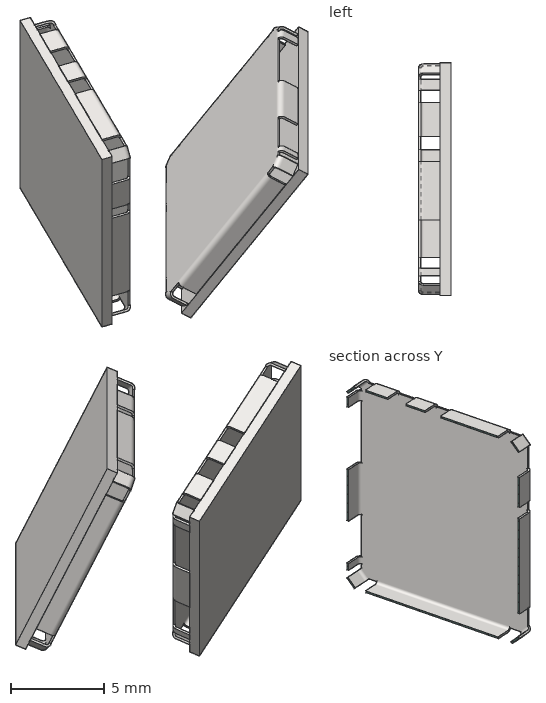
import cadquery as cq
import math

board_width = 11.6
board_height = 12.5
board_thickness = 0.6

total_depth = 1.76
board_margin = 0.06
sheet = 0.13
bend_radius = 0.3
corner_cut = 0.5
roof_inset = 0.22

top_tab_spans = [(-4.48, -3.03), (-1.81, -0.54), (0.50, 4.32)]
bottom_tab_spans = [(-4.48, 4.32)]
left_tab_spans = [(-5.19, -4.77), (-2.19, 0.96), (4.76, 5.36)]
right_tab_spans = [(-4.21, 1.59), (2.28, 4.12)]

can_height = total_depth - board_thickness
half_x = board_width / 2 - board_margin
half_z = board_height / 2 - board_margin
corner_tab_width = corner_cut * math.sqrt(2)


def make_board():
    return cq.Workplane("XY").box(
        board_width, board_thickness, board_height, centered=(True, False, True)
    )


def make_block(inset, depth):
    """Block with 45 degree corners, ending at the back of the can and inset on every side."""
    cut = corner_cut - (2 - math.sqrt(2)) * inset
    return (
        cq.Workplane("XY")
        .box(2 * (half_x - inset), depth, 2 * (half_z - inset), centered=(True, False, True))
        .edges("|Y")
        .chamfer(cut)
        .translate((0, total_depth - depth, 0))
    )


def make_roof():
    """Sheet at the back of the can, whose rim between the tabs stops within the bends."""
    rounded_can = make_block(0, can_height).faces(">Y").edges().fillet(bend_radius)
    return make_block(roof_inset, sheet).intersect(rounded_can)


def make_tab(x, z, out_x, out_z, width):
    """Bent tab whose outer face is centred on (x, z) and faces (out_x, out_z)."""
    plane = cq.Plane(
        origin=(x, board_thickness, z),
        xDir=(out_x, 0, out_z),
        normal=(-out_z, 0, out_x),
    )
    inner_radius = bend_radius - sheet
    bend_start = can_height - bend_radius
    diagonal = math.sqrt(0.5)
    outer_mid = (-bend_radius * (1 - diagonal), bend_start + bend_radius * diagonal)
    inner_mid = (-bend_radius + inner_radius * diagonal, bend_start + inner_radius * diagonal)
    return (
        cq.Workplane(plane)
        .moveTo(0, 0)
        .lineTo(0, bend_start)
        .threePointArc(outer_mid, (-bend_radius, can_height))
        .lineTo(-bend_radius, can_height - sheet)
        .threePointArc(inner_mid, (-sheet, bend_start))
        .lineTo(-sheet, 0)
        .close()
        .extrude(width / 2, both=True)
    )


def make_shield():
    shield = make_roof()

    for side, spans in ((1, top_tab_spans), (-1, bottom_tab_spans)):
        for start, end in spans:
            middle = (start + end) / 2
            shield = shield.union(make_tab(middle, side * half_z, 0, side, end - start))

    for side, spans in ((-1, left_tab_spans), (1, right_tab_spans)):
        for start, end in spans:
            middle = (start + end) / 2
            shield = shield.union(make_tab(side * half_x, middle, side, 0, end - start))

    for side_x in (-1, 1):
        for side_z in (-1, 1):
            x = side_x * (half_x - corner_cut / 2)
            z = side_z * (half_z - corner_cut / 2)
            shield = shield.union(make_tab(x, z, side_x, side_z, corner_tab_width))
    return shield


board = make_board()
shield = make_shield()

result = cq.Compound.makeCompound([board.val(), *shield.vals()])